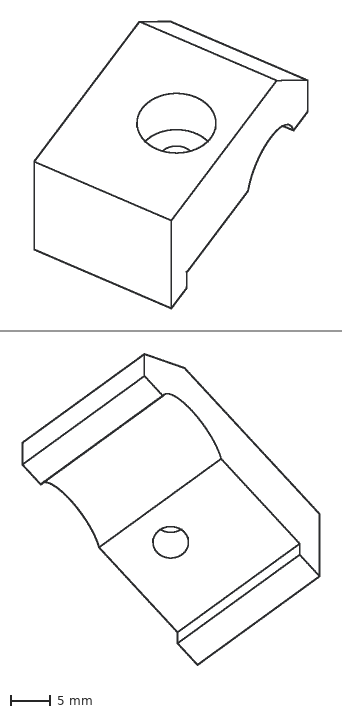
import cadquery as cq

width = 20.0
length = 35.0
height = 17.0
top_chamfer = 8.0

lip_length = 4.0
lip_height = 3.0

groove_radius = 6.0
groove_center_y = 25.5
groove_center_z = 1.5

hole_x = 12.5
hole_y = 14.5
hole_diameter = 4.5
counterbore_diameter = 10.0
counterbore_depth = 7.0


def make_body():
    """Side profile in the YZ plane, extruded across the width."""
    return (
        cq.Workplane("YZ")
        .moveTo(0, 0)
        .lineTo(lip_length, 0)
        .lineTo(lip_length, lip_height)
        .lineTo(length, lip_height)
        .lineTo(length, height - top_chamfer)
        .lineTo(length - top_chamfer, height)
        .lineTo(0, height)
        .close()
        .extrude(width)
    )


def make_groove():
    """Cylinder along X that cuts the round groove."""
    return (
        cq.Workplane("YZ")
        .center(groove_center_y, groove_center_z)
        .circle(groove_radius)
        .extrude(width)
    )


def add_screw_hole(body):
    """Through hole with a flat-bottomed counterbore from the top face."""
    return (
        body.faces(">Z")
        .workplane(origin=(hole_x, hole_y, height))
        .cboreHole(hole_diameter, counterbore_diameter, counterbore_depth)
    )


result = add_screw_hole(make_body().cut(make_groove()))